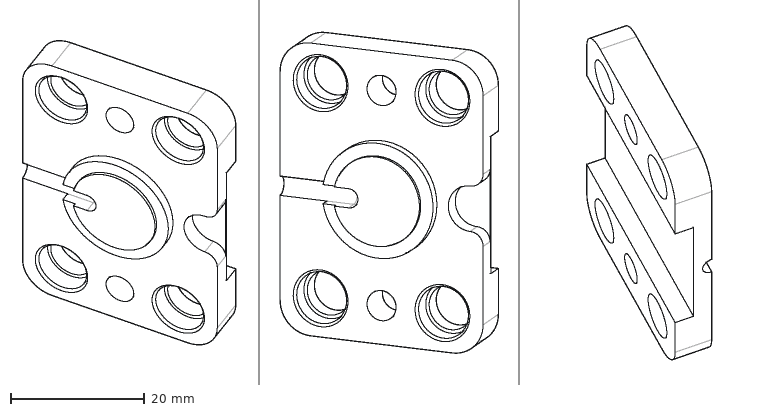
import cadquery as cq
import math

plate_width = 33.0
plate_height = 45.87
plate_thickness = 6.0
corner_radius = 5.0

channel_height = 21.5
channel_depth = 3.0

boss_diameter = 18.0
boss_height = 1.5
pad_diameter = 14.0
pad_height = 0.5
front_height = boss_height + pad_height

screw_pitch_x = 19.8
hole_pitch_z = 33.7
screw_diameter = 7.0
counterbore_diameter = 8.1
counterbore_depth = 3.2
counterbore_chamfer = 0.4

pin_diameter = 4.7

groove_radius = 1.5
groove_end_x = -3.0

notch_radius = 3.55
notch_center_x = 14.4
notch_depth = 2.7


def front_cylinder(diameter, x, z, y_start, y_end):
    """Cylinder along +Y between two Y positions."""
    return cq.Workplane(
        cq.Solid.makeCylinder(
            diameter / 2, y_end - y_start, cq.Vector(x, y_start, z), cq.Vector(0, 1, 0)
        )
    )


def make_plate():
    plate = cq.Workplane("XY").box(
        plate_width, plate_thickness, plate_height, centered=(True, False, True)
    )
    plate = plate.edges("|Y").fillet(corner_radius)
    channel = (
        cq.Workplane("XY")
        .box(plate_width, channel_depth, channel_height, centered=(True, False, True))
        .translate((0, plate_thickness - channel_depth, 0))
    )
    return plate.cut(channel)


def make_boss():
    boss = front_cylinder(boss_diameter, 0, 0, -boss_height, 0)
    pad = front_cylinder(pad_diameter, 0, 0, -front_height, -boss_height)
    return boss.union(pad)


def make_screw_hole(x, z):
    bore = front_cylinder(screw_diameter, x, z, 0, plate_thickness)
    counterbore = front_cylinder(counterbore_diameter, x, z, 0, counterbore_depth)
    counterbore_radius = counterbore_diameter / 2
    chamfer = cq.Workplane(
        cq.Solid.makeCone(
            counterbore_radius + counterbore_chamfer,
            counterbore_radius,
            counterbore_chamfer,
            cq.Vector(x, 0, z),
            cq.Vector(0, 1, 0),
        )
    )
    return bore.union(counterbore).union(chamfer)


def make_groove():
    """Half-round channel with a spherical end, open toward the front."""
    center_x = groove_end_x - groove_radius
    length = center_x + plate_width / 2
    bottom = cq.Workplane("YZ", origin=(-plate_width / 2, 0, 0)).circle(groove_radius).extrude(length)
    end_ball = cq.Workplane("XY").sphere(groove_radius).translate((center_x, 0, 0))
    walls = (
        cq.Workplane("XY")
        .box(length, front_height, 2 * groove_radius, centered=(False, False, True))
        .translate((-plate_width / 2, -front_height, 0))
    )
    end_wall = front_cylinder(2 * groove_radius, center_x, 0, -front_height, 0)
    return bottom.union(end_ball).union(walls).union(end_wall)


def make_notch():
    """Round pocket whose sides flare out to the +X edge in quarter arcs."""
    edge_x = plate_width / 2
    shoulder_radius = edge_x - notch_center_x
    shoulder_z = notch_radius + shoulder_radius
    arc_mid_x = notch_center_x + shoulder_radius * math.sin(math.radians(45))
    arc_mid_z = shoulder_z - shoulder_radius * math.cos(math.radians(45))
    return (
        cq.Workplane("XZ")
        .moveTo(edge_x, -shoulder_z)
        .lineTo(edge_x, shoulder_z)
        .threePointArc((arc_mid_x, arc_mid_z), (notch_center_x, notch_radius))
        .threePointArc((notch_center_x - notch_radius, 0), (notch_center_x, -notch_radius))
        .threePointArc((arc_mid_x, -arc_mid_z), (edge_x, -shoulder_z))
        .close()
        .extrude(-notch_depth)
    )


result = make_plate().union(make_boss())

for hole_z in (-hole_pitch_z / 2, hole_pitch_z / 2):
    result = result.cut(front_cylinder(pin_diameter, 0, hole_z, 0, plate_thickness))
    for hole_x in (-screw_pitch_x / 2, screw_pitch_x / 2):
        result = result.cut(make_screw_hole(hole_x, hole_z))

result = result.cut(make_groove()).cut(make_notch())